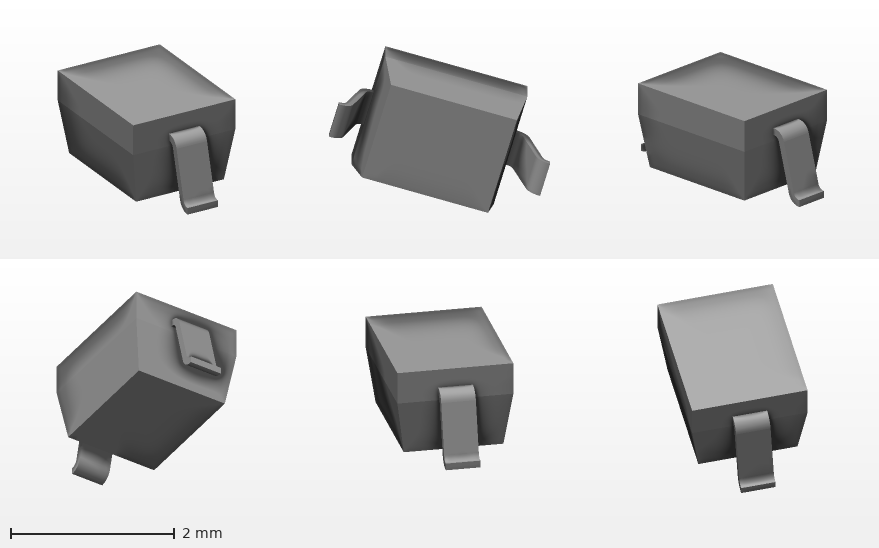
import cadquery as cq
import math

overall_length = 2.69
overall_height = 1.15

housing_length = 1.808
housing_width = 1.45
standoff = 0.05
upper_height = 0.404
side_inset = 0.102

lead_width = 0.433
lead_thickness = 0.09
lead_top = 0.915
inner_radius = 0.09
straight_end = 0.008
outer_radius = inner_radius + lead_thickness

marker_diameter = 0.09
marker_depth = 0.013
marker_edge_distance = 0.183
marker_x = marker_edge_distance - housing_length / 2


def make_marker():
    return (
        cq.Workplane("XY", origin=(marker_x, 0, overall_height - marker_depth))
        .circle(marker_diameter / 2)
        .extrude(marker_depth)
    )


def make_housing():
    split_z = overall_height - upper_height
    lower_height = split_z - standoff
    upper = (
        cq.Workplane("XY", origin=(0, 0, split_z))
        .rect(housing_length, housing_width)
        .extrude(upper_height)
    )
    lower = (
        cq.Workplane("XY", origin=(0, 0, split_z))
        .rect(housing_length, housing_width)
        .workplane(offset=-lower_height)
        .rect(housing_length - 2 * side_inset, housing_width - 2 * side_inset)
        .loft(ruled=True)
    )
    return upper.union(lower, clean=False).cut(make_marker())


def polar_point(center, radius, angle):
    return (center[0] + radius * math.cos(angle), center[1] + radius * math.sin(angle))


def make_lead(side):
    """Lead on the -X side (side = -1) or the +X side (side = 1)."""
    housing_side = -housing_length / 2
    tip = -overall_length / 2
    shoulder = (housing_side - straight_end, lead_top - outer_radius)
    foot = (tip + straight_end, outer_radius)

    run = shoulder[0] - foot[0]
    rise = shoulder[1] - foot[1]
    radius_sum = inner_radius + outer_radius
    leg_length = math.sqrt(run**2 + rise**2 - radius_sum**2)
    bend_angle = math.atan2(rise, run) + math.atan2(radius_sum, leg_length)

    up = math.pi / 2
    down = -math.pi / 2
    shoulder_end = up + bend_angle
    shoulder_middle = up + bend_angle / 2
    foot_end = down + bend_angle
    foot_middle = down + bend_angle / 2

    lead = (
        cq.Workplane("XZ")
        .moveTo(housing_side, lead_top)
        .lineTo(*polar_point(shoulder, outer_radius, up))
        .threePointArc(
            polar_point(shoulder, outer_radius, shoulder_middle),
            polar_point(shoulder, outer_radius, shoulder_end),
        )
        .lineTo(*polar_point(foot, inner_radius, foot_end))
        .threePointArc(
            polar_point(foot, inner_radius, foot_middle),
            polar_point(foot, inner_radius, down),
        )
        .lineTo(tip, lead_thickness)
        .lineTo(tip, 0)
        .lineTo(*polar_point(foot, outer_radius, down))
        .threePointArc(
            polar_point(foot, outer_radius, foot_middle),
            polar_point(foot, outer_radius, foot_end),
        )
        .lineTo(*polar_point(shoulder, inner_radius, shoulder_end))
        .threePointArc(
            polar_point(shoulder, inner_radius, shoulder_middle),
            polar_point(shoulder, inner_radius, up),
        )
        .lineTo(housing_side, lead_top - lead_thickness)
        .close()
        .extrude(lead_width / 2, both=True)
    )
    if side > 0:
        lead = lead.mirror("YZ")
    return lead


housing = make_housing()
marker = make_marker()
leads = [make_lead(side) for side in (-1, 1)]

result = cq.Compound.makeCompound(
    [housing.solids().val(), marker.val(), *[lead.solids().val() for lead in leads]]
)